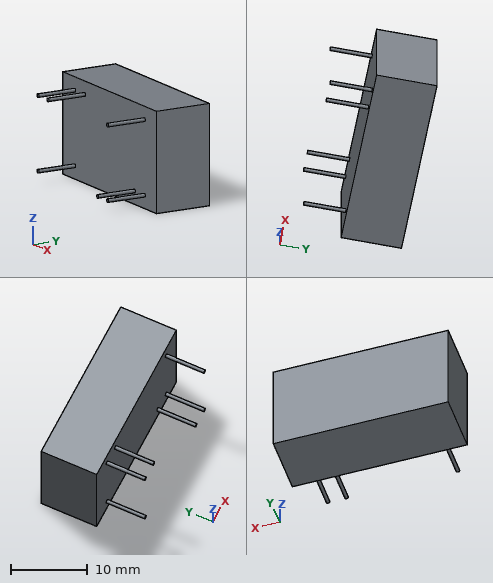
import cadquery as cq

body_length = 24.0
body_height = 13.8
total_depth = 13.6
pin_length = 5.57
body_depth = total_depth - pin_length
pin_diameter = 0.5

pitch = 2.55
outer_x = 3.5 * pitch
inner_x = outer_x - pitch
row_z = 2 * pitch
upper_row = [-outer_x, -inner_x, outer_x]
lower_row = [-outer_x, inner_x, outer_x]
pin_places = [(x, row_z) for x in upper_row] + [(x, -row_z) for x in lower_row]

body = (
    cq.Workplane("XZ")
    .rect(body_length, body_height)
    .extrude(-body_depth)
)

pins = (
    cq.Workplane("XZ")
    .pushPoints(pin_places)
    .circle(pin_diameter / 2)
    .extrude(pin_length)
)

result = body.union(pins)